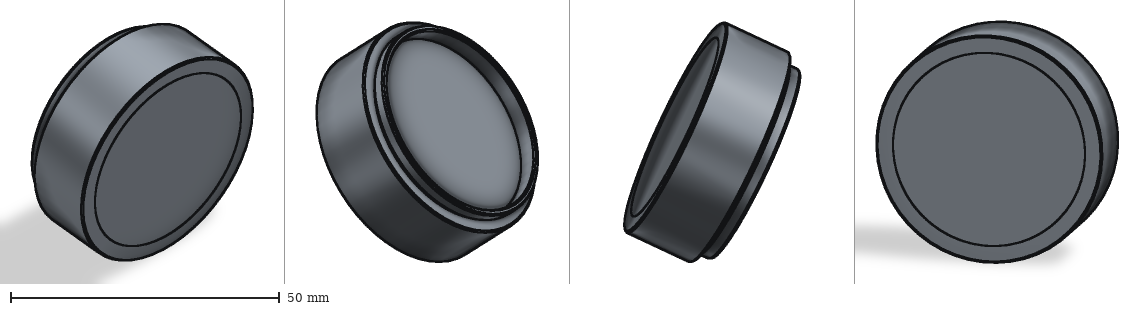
import cadquery as cq

outer_diameter = 43.18
total_length = 16.51

nose_length = 3.05
nose_diameter = 38.99
nose_chamfer_length = 0.4
nose_chamfer_depth = 0.23
relief_width = 0.76
relief_diameter = 37.95

barrel_chamfer = 0.3

bore_diameter = 36.7
bore_chamfer = 0.3
optic_recess = 3.7

nose_face = -total_length / 2
back_face = total_length / 2
relief_start = nose_face + nose_length - relief_width
barrel_face = nose_face + nose_length
optic_face = nose_face + optic_recess

outer_radius = outer_diameter / 2
nose_radius = nose_diameter / 2
relief_radius = relief_diameter / 2
bore_radius = bore_diameter / 2


def make_housing():
    """Stepped ring: chamfered nose, relief groove, barrel and a through bore."""
    profile = [
        (nose_face + bore_chamfer, bore_radius),
        (nose_face, bore_radius + bore_chamfer),
        (nose_face, nose_radius - nose_chamfer_depth),
        (nose_face + nose_chamfer_length, nose_radius),
        (relief_start, nose_radius),
        (relief_start, relief_radius),
        (barrel_face, relief_radius),
        (barrel_face, outer_radius - barrel_chamfer),
        (barrel_face + barrel_chamfer, outer_radius),
        (back_face - barrel_chamfer, outer_radius),
        (back_face, outer_radius - barrel_chamfer),
        (back_face, bore_radius),
    ]
    return cq.Workplane("XZ").polyline(profile).close().revolve(360, (0, 0, 0), (1, 0, 0))


def make_optic():
    """Flat-faced disc that fills the bore from its recessed face to the back face."""
    return cq.Workplane("YZ", origin=(optic_face, 0, 0)).circle(bore_radius).extrude(back_face - optic_face)


housing = make_housing()
optic = make_optic()

result = cq.Compound.makeCompound([housing.val(), optic.val()])